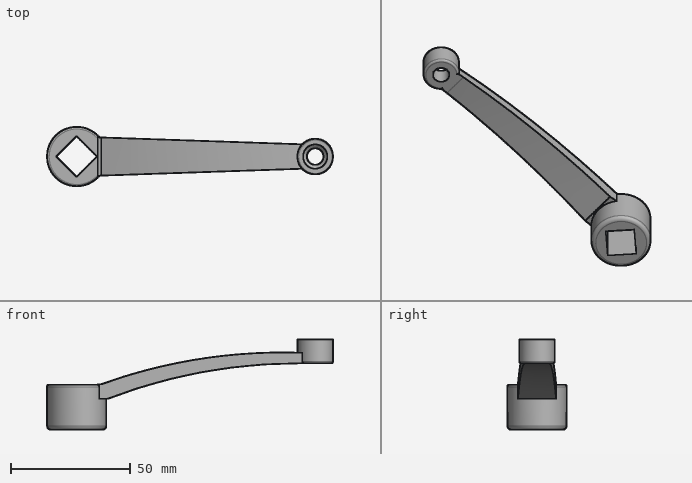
import cadquery as cq
import math

total_length = 119.9
total_height = 38.0

hub_diameter = 25.0
hub_height = 19.0
hub_top_fillet = 0.8
hub_bottom_fillet = 1.8
socket_side = 12.0

boss_diameter = 15.0
boss_height = 10.2
boss_top_fillet = 0.5
boss_bottom_fillet = 1.0
hole_diameter = 6.8
countersink_diameter = 10.2
countersink_angle = 90
boss_x = total_length - (hub_diameter + boss_diameter) / 2
boss_bottom = total_height - boss_height

arm_start_x = 8.9
arm_end_x = 94.7
arm_start_width = 16.2
arm_end_width = 10.3
arm_start_top = hub_height + 0.2
arm_start_bottom = 13.0
arm_end_thickness = 4.7
arm_end_top = boss_bottom + arm_end_thickness
top_arc_start_x = 10.3
top_arc_peak_x = 86.3
bottom_arc_start_x = 13.0
bottom_arc_end_x = 92.3


def rounded_post(diameter, height, top_fillet, bottom_fillet):
    """Upright cylinder with both rims rounded."""
    post = cq.Workplane("XY").circle(diameter / 2).extrude(height)
    return post.faces(">Z").edges().fillet(top_fillet).faces("<Z").edges().fillet(bottom_fillet)


def arc_height(x, start, peak):
    """Height at x of the circular arc that leaves start and is level at peak."""
    run = peak[0] - start[0]
    rise = peak[1] - start[1]
    radius = (run**2 + rise**2) / (2 * rise)
    return peak[1] - radius + math.sqrt(radius**2 - (peak[0] - x) ** 2)


def make_arm():
    """Side profile extruded across Y and trimmed to the tapered plan."""
    top_start = (top_arc_start_x, arm_start_top)
    top_peak = (top_arc_peak_x, arm_end_top)
    top_end = (boss_x, arc_height(boss_x, top_start, top_peak))
    bottom_start = (bottom_arc_start_x, arm_start_bottom)
    bottom_end = (bottom_arc_end_x, boss_bottom)
    bottom_middle_x = (bottom_arc_start_x + bottom_arc_end_x) / 2
    bottom_middle = (bottom_middle_x, arc_height(bottom_middle_x, bottom_start, bottom_end))
    profile = (
        cq.Workplane("XZ")
        .moveTo(*top_end)
        .threePointArc(top_peak, top_start)
        .lineTo(arm_start_x, arm_start_top)
        .lineTo(arm_start_x, arm_start_bottom)
        .lineTo(*bottom_start)
        .threePointArc(bottom_middle, bottom_end)
        .lineTo(boss_x, boss_bottom)
        .close()
        .extrude(hub_diameter / 2, both=True)
    )
    plan = (
        cq.Workplane("XY")
        .polyline([
            (arm_start_x, -arm_start_width / 2),
            (arm_end_x, -arm_end_width / 2),
            (boss_x, 0),
            (arm_end_x, arm_end_width / 2),
            (arm_start_x, arm_start_width / 2),
        ])
        .close()
        .extrude(total_height)
    )
    return profile.intersect(plan)


hub = rounded_post(hub_diameter, hub_height, hub_top_fillet, hub_bottom_fillet)
boss = rounded_post(boss_diameter, boss_height, boss_top_fillet, boss_bottom_fillet)
boss = boss.translate((boss_x, 0, boss_bottom))

socket = cq.Workplane("XY").rect(socket_side, socket_side).extrude(total_height)
socket = socket.rotate((0, 0, 0), (0, 0, 1), 45)

body = hub.union(make_arm()).union(boss).cut(socket)

result = (
    body.faces(">Z")
    .workplane(origin=(boss_x, 0, total_height))
    .cskHole(hole_diameter, countersink_diameter, countersink_angle)
)